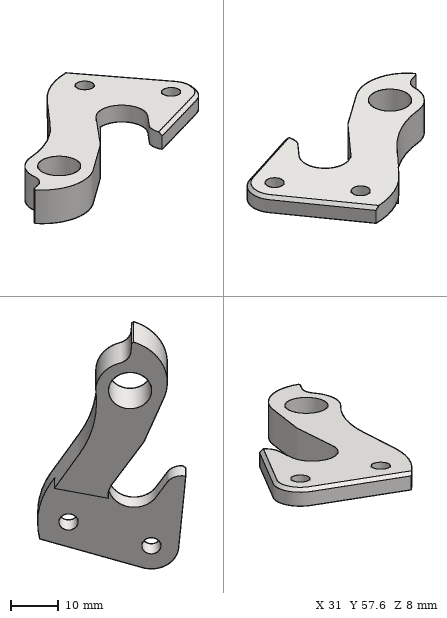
import cadquery as cq
import math


total_height = 8.0
plate_height = total_height / 2
step_y = 27.45
chamfer_size = 0.8
cutter_size = 57.65

mount_hole_radius = 4.55
bolt_hole_radius = 2.0
left_bolt = (-5.15, 37.6)
right_bolt = (13.25, 39.7)

hub_radius = 7.25
corner_radius = 5.8
slot_center = (6.45, 25.65)
slot_radius = 5.5
slot_tilt = math.radians(19.2)

shoulder_bulge = (-11.95, 35.2)
shoulder_end = (-10.9, 28.8)
waist_start = (-7.2, 18.2)
waist_middle = (-5.7, 10.15)
throat_middle = (-2.25, -7.65)
throat_end = (-1.9, -9.75)
claw_belly = (5.15, -8.1)
claw_arc_end = (7.3, 0.85)
hook_nose = (14.6, 21.6)
hook_nose_end = (15.85, 21.1)

top_left = (-10.2, 43.05)
hook_tip = (16.65, 21.0)
hook_inner = (13.3, 22.9)
neck_bend = (5.65, 11.9)
hub_start_y = 2.25
hub_end_y = -6.3
claw_inner = (-2.2, -11.65)
claw_tip = (-1.85, -12.1)


def polar(center, radius, angle):
    """Point on a circle at an angle in radians."""
    return (center[0] + radius * math.cos(angle), center[1] + radius * math.sin(angle))


def tangent_angle(point, center, radius, side):
    """Angle on the circle where a line from an outside point touches; side is +1 or -1."""
    dx = point[0] - center[0]
    dy = point[1] - center[1]
    return math.atan2(dy, dx) + side * math.acos(radius / math.hypot(dx, dy))


def hub_left(y):
    """Point on the left side of the hub circle at height y."""
    return (-math.sqrt(hub_radius**2 - y**2), y)


def midpoint(a, b):
    return ((a[0] + b[0]) / 2, (a[1] + b[1]) / 2)


corner_top_angle = tangent_angle(top_left, right_bolt, corner_radius, -1)
corner_side_angle = tangent_angle(hook_tip, right_bolt, corner_radius, 1)
corner_top_angle %= 2 * math.pi
corner_side_angle = math.remainder(corner_side_angle, 2 * math.pi)
corner_top = polar(right_bolt, corner_radius, corner_top_angle)
corner_side = polar(right_bolt, corner_radius, corner_side_angle)
corner_middle = polar(right_bolt, corner_radius, (corner_top_angle + corner_side_angle) / 2)

slot_left = polar(slot_center, slot_radius, math.pi + slot_tilt)
slot_top = polar(slot_center, slot_radius, math.pi / 2 + slot_tilt)
slot_right = polar(slot_center, slot_radius, slot_tilt)


def make_outline():
    return (
        cq.Workplane("XY")
        .moveTo(*top_left)
        .threePointArc(shoulder_bulge, shoulder_end)
        .lineTo(*waist_start)
        .threePointArc(waist_middle, hub_left(hub_start_y))
        .threePointArc((-hub_radius, 0), hub_left(hub_end_y))
        .threePointArc(throat_middle, throat_end)
        .lineTo(*claw_inner)
        .lineTo(*claw_tip)
        .threePointArc(claw_belly, claw_arc_end)
        .lineTo(*neck_bend)
        .lineTo(*slot_left)
        .threePointArc(slot_top, slot_right)
        .lineTo(*hook_inner)
        .threePointArc(hook_nose, hook_nose_end)
        .lineTo(*hook_tip)
        .lineTo(*corner_side)
        .threePointArc(corner_middle, corner_top)
        .close()
    )


def cut_step(body):
    """Thin the upper plate and the hook from below, leaving the neck at full height."""
    def relief(x, y):
        return cq.Workplane("XY").box(cutter_size, cutter_size, plate_height, centered=False).translate((x, y, 0))

    above_step = relief(-cutter_size / 2, step_y)
    under_hook = relief(slot_center[0], slot_center[1] - slot_radius)
    return body.cut(above_step).cut(under_hook)


def chamfer_outer_edges(body):
    """Bevel the top rim along the upper edge, the round corner and the hook's outer edge."""
    rim_points = (midpoint(top_left, corner_top), corner_middle, midpoint(corner_side, hook_tip))
    rim = cq.Workplane("XY")
    for x, y in rim_points:
        rim = rim.add(body.edges(cq.selectors.NearestToPointSelector((x, y, total_height))))
    return body.newObject([body.val().chamfer(chamfer_size, None, rim.vals())])


def cut_holes(body):
    mount_hole = cq.Workplane("XY").circle(mount_hole_radius).extrude(total_height)
    bolt_holes = (
        cq.Workplane("XY").pushPoints([left_bolt, right_bolt]).circle(bolt_hole_radius).extrude(total_height)
    )
    return body.cut(mount_hole).cut(bolt_holes)


result = cut_holes(chamfer_outer_edges(cut_step(make_outline().extrude(total_height))))